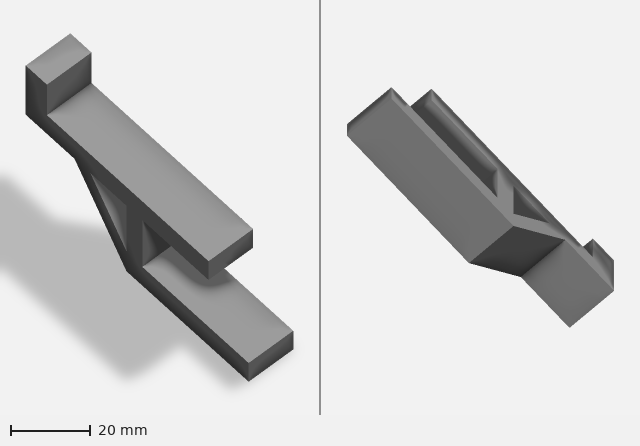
import cadquery as cq

length = 84.0
width = 15.0
height = 49.0
bar_thickness = 8.0
upper_bar_length = 68.9
lip_height = 21.0
post_left = 38.0
post_thickness = 6.0
brace_left = 18.4
brace_run = 6.0

upper_bar_bottom = height - lip_height
upper_bar_top = upper_bar_bottom + bar_thickness
post_right = post_left + post_thickness
brace_slope = upper_bar_bottom / (post_left - brace_left)
window_left = brace_left + brace_run
window_bottom = upper_bar_bottom - brace_slope * (post_left - window_left)

outline = [
    (0, height),
    (bar_thickness, height),
    (bar_thickness, upper_bar_top),
    (upper_bar_length, upper_bar_top),
    (upper_bar_length, upper_bar_bottom),
    (post_right, upper_bar_bottom),
    (post_right, bar_thickness),
    (length, bar_thickness),
    (length, 0),
    (post_left, 0),
    (brace_left, upper_bar_bottom),
    (0, upper_bar_bottom),
]

window = [
    (window_left, upper_bar_bottom),
    (post_left, upper_bar_bottom),
    (post_left, window_bottom),
]

result = (
    cq.Workplane("XZ")
    .polyline(outline).close()
    .polyline(window).close()
    .extrude(width / 2, both=True)
)